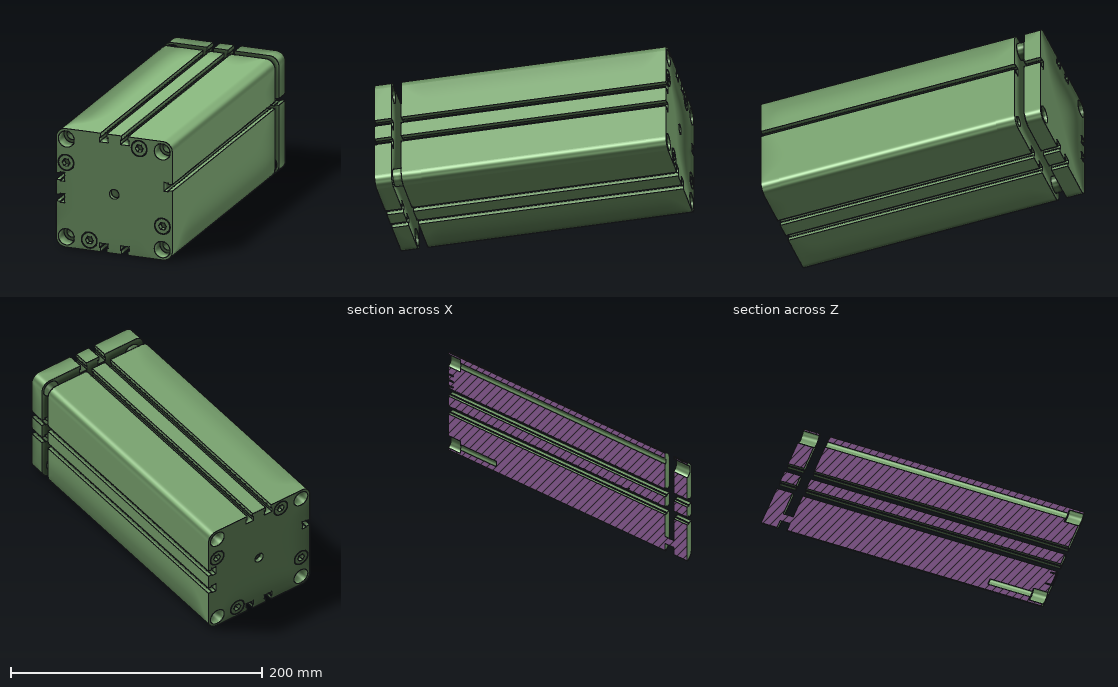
import cadquery as cq
import math

width = 100.0
length = 238.0
half_width = width / 2
corner_radius = 8.0

rear_cap_length = 16.0
front_cap_start = 200.0
body_end = 216.0
plate_start = 224.2

slot_offset = 9.0
single_slot_offset = 12.0
slot_mouth_width = 5.5
slot_inner_width = 7.4
slot_lip = 3.5
slot_depth = 7.4

mount_offset = 41.2
mount_hole_diameter = 8.3
mount_blind_depth = 47.5
mount_bore_diameter = 13.5
mount_bore_depth = 12.0
plate_access_diameter = 14.0

screw_long_offset = 41.5
screw_short_offset = 21.5
screw_bore_diameter = 13.5
screw_head_diameter = 12.5
screw_gap_depth = 4.8
hex_across_flats = 5.7
hex_depth = 4.8

center_hole_diameter = 8.0
center_hole_depth = 4.0

pin_diameter = 14.0
pin_offset = 38.5
rod_diameter = 20.0
rod_flat_width = 16.7
rod_chamfer_length = 2.1
rod_chamfer_depth = 0.7
rod_flat_length = 5.5


def plane_at(y):
    """Plane across the long axis at Y = y, extruding toward +Y; local x is -X, local y is Z."""
    return cq.Workplane(cq.Plane(origin=(0, y, 0), xDir=(-1, 0, 0), normal=(0, 1, 0)))


def cylinder(diameter, x, z, y_start, y_end):
    return plane_at(y_start).center(-x, z).circle(diameter / 2).extrude(y_end - y_start)


def t_slot(offset, angle):
    """T-slot in the +Z side at X = offset, then turned about Y by the angle."""
    from_floor = (True, False, False)
    mouth = cq.Workplane().box(slot_mouth_width, length, slot_depth, centered=from_floor)
    inner = cq.Workplane().box(slot_inner_width, length, slot_depth - slot_lip, centered=from_floor)
    slot = mouth.union(inner).translate((offset, 0, half_width - slot_depth))
    return slot.rotate((0, 0, 0), (0, 1, 0), angle)


def slotted_block(y_start, y_end):
    """Rounded square block: paired slots on the +Z, -X and -Z sides, one slot on the +X side."""
    section = plane_at(y_start).rect(width, width).extrude(y_end - y_start)
    section = section.edges("|Y").fillet(corner_radius)
    for angle in (0, 180, 270):
        for offset in (slot_offset, -slot_offset):
            section = section.cut(t_slot(offset, angle))
    return section.cut(t_slot(-single_slot_offset, 90))


def screw_cut(x, z):
    """Thin ring gap around a flush screw head, with its hexagon socket."""
    gap = cylinder(screw_bore_diameter, x, z, 0, screw_gap_depth)
    gap = gap.cut(cylinder(screw_head_diameter, x, z, 0, screw_gap_depth))
    hex_corners = hex_across_flats / math.cos(math.pi / 6)
    socket = plane_at(0).center(-x, z).polygon(6, hex_corners).extrude(hex_depth)
    return gap.union(socket)


def piston_rod():
    """Round rod chamfered at the plate, with two wrench flats that run out at 45 degrees."""
    gap = plate_start - body_end
    radius = rod_diameter / 2
    rod = (
        cq.Workplane("XY")
        .moveTo(0, body_end)
        .lineTo(radius, body_end)
        .lineTo(radius, plate_start - rod_chamfer_length)
        .lineTo(radius - rod_chamfer_depth, plate_start)
        .lineTo(0, plate_start)
        .close()
        .revolve(360, (0, 0, 0), (0, 1, 0))
    )
    half_flat = rod_flat_width / 2
    flat_start = plate_start - rod_flat_length
    for side in (1, -1):
        cutter = (
            cq.Workplane("XY")
            .moveTo(side * half_flat, plate_start)
            .lineTo(side * half_flat, flat_start)
            .lineTo(side * (half_flat + gap), flat_start - gap)
            .lineTo(side * (half_flat + gap), plate_start)
            .close()
            .extrude(radius, both=True)
        )
        rod = rod.cut(cutter)
    return rod


rear_cap = slotted_block(0, rear_cap_length)
body = slotted_block(rear_cap_length, front_cap_start)
front_cap = slotted_block(front_cap_start, body_end)
plate = slotted_block(plate_start, length)
result = rear_cap.union(body, clean=False).union(front_cap, clean=False).union(plate, clean=False)

for x_side in (1, -1):
    for z_side in (1, -1):
        x = x_side * mount_offset
        z = z_side * mount_offset
        passes_through = x_side != z_side
        hole_end = body_end if passes_through else mount_blind_depth
        result = result.cut(cylinder(mount_bore_diameter, x, z, 0, mount_bore_depth), clean=False)
        result = result.cut(cylinder(mount_hole_diameter, x, z, 0, hole_end), clean=False)
        if passes_through:
            access_hole = cylinder(plate_access_diameter, x, z, plate_start, length)
            result = result.cut(access_hole, clean=False)

for x, z in (
    (screw_short_offset, screw_long_offset),
    (screw_long_offset, -screw_short_offset),
    (-screw_short_offset, -screw_long_offset),
    (-screw_long_offset, screw_short_offset),
):
    result = result.cut(screw_cut(x, z), clean=False)

center_hole = cylinder(center_hole_diameter, 0, 0, 0, center_hole_depth)
result = result.cut(center_hole, clean=False)

for side in (1, -1):
    pin = cylinder(pin_diameter, side * pin_offset, side * pin_offset, body_end, plate_start)
    result = result.union(pin, clean=False)
result = result.union(piston_rod(), clean=False)